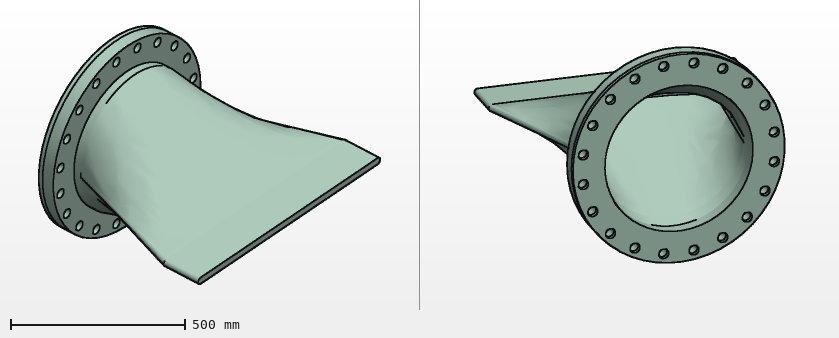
import cadquery as cq
import math


flange_diameter = 640.0
flange_thickness = 15.0
ring_thickness = 41.0
ring_end = flange_thickness + ring_thickness

bolt_count = 20
bolt_circle_diameter = 584.0
bolt_hole_diameter = 29.0
bolt_pitch = 360 / bolt_count

sleeve_diameter = 460.5
sleeve_radius = sleeve_diameter / 2
sleeve_end = 83.0

valve_length = 676.0
lip_length = 132.0
lip_width = 790.0
lip_thickness = 23.0
lip_start = valve_length - lip_length
lip_edge_radius = lip_thickness / 2
lip_flat_half_width = lip_width / 2 - lip_edge_radius

outer_strip_half_height = 8.0
inner_strip_half_height = 9.5

bore_radius = 223.5
bore_length = 44.0
throat_half_height = 210.0
passage_end = 490.0
slit_half_width = 268.5
slit_side_bulge = 8.0
slit_end_half_height = 15.0
slit_middle_half_height = 1.0


def section(x, corner_y, corner_z, middle_z, side_y):
    """Closed YZ outline at x: arcs over the top and bottom, joined by a short arc at each side."""
    return (
        cq.Workplane("YZ", origin=(x, 0, 0))
        .moveTo(corner_y, corner_z)
        .threePointArc((0, middle_z), (-corner_y, corner_z))
        .threePointArc((-side_y, 0), (-corner_y, -corner_z))
        .threePointArc((0, -middle_z), (corner_y, -corner_z))
        .threePointArc((side_y, 0), (corner_y, corner_z))
        .close()
        .val()
    )


def circle_section(x, radius, strip_half_height):
    """Circle at x, split at the corners of the two side strips."""
    corner_y = math.sqrt(radius**2 - strip_half_height**2)
    return section(x, corner_y, strip_half_height, radius, radius)


def lip_section(x):
    """Slot-shaped outline of the lip at x."""
    return (
        cq.Workplane("YZ", origin=(x, 0, 0))
        .moveTo(lip_flat_half_width, lip_edge_radius)
        .lineTo(-lip_flat_half_width, lip_edge_radius)
        .threePointArc((-lip_width / 2, 0), (-lip_flat_half_width, -lip_edge_radius))
        .lineTo(lip_flat_half_width, -lip_edge_radius)
        .threePointArc((lip_width / 2, 0), (lip_flat_half_width, lip_edge_radius))
        .close()
        .val()
    )


def ruled_loft(*sections):
    return cq.Workplane(obj=cq.Solid.makeLoft(list(sections), True))


def disc(x, diameter, thickness):
    return cq.Workplane("YZ", origin=(x, 0, 0)).circle(diameter / 2).extrude(thickness)


def bolt_holes():
    """Cutters through the flange and the ring, straddling the Y and Z axes."""
    return (
        cq.Workplane("YZ")
        .polarArray(bolt_circle_diameter / 2, bolt_pitch / 2, 360, bolt_count)
        .circle(bolt_hole_diameter / 2)
        .extrude(ring_end)
    )


def passage():
    """Void of the valve: bore, throat and closing wedge."""
    throat_corner_y = math.sqrt(bore_radius**2 - inner_strip_half_height**2)
    throat = section(
        sleeve_end, throat_corner_y, inner_strip_half_height, throat_half_height, bore_radius
    )
    slit = section(
        passage_end,
        slit_half_width,
        slit_end_half_height,
        slit_middle_half_height,
        slit_half_width + slit_side_bulge,
    )
    bore_start = circle_section(0, bore_radius, inner_strip_half_height)
    bore_end = circle_section(bore_length, bore_radius, inner_strip_half_height)
    return ruled_loft(bore_start, bore_end, throat, slit)


def make_valve():
    flange = disc(0, flange_diameter, flange_thickness)
    sleeve = disc(0, sleeve_diameter, sleeve_end)
    bill = ruled_loft(
        circle_section(sleeve_end, sleeve_radius, outer_strip_half_height), lip_section(lip_start)
    )
    lip = cq.Workplane(obj=cq.Solid.extrudeLinear(lip_section(lip_start), [], cq.Vector(lip_length, 0, 0)))
    outside = flange.union(sleeve).union(bill).union(lip)
    return outside.cut(passage()).cut(bolt_holes())


def make_backing_ring():
    ring = disc(flange_thickness, flange_diameter, ring_thickness)
    sleeve_opening = disc(flange_thickness, sleeve_diameter, ring_thickness)
    return ring.cut(sleeve_opening).cut(bolt_holes())


valve = make_valve()
backing_ring = make_backing_ring()

result = cq.Compound.makeCompound([valve.solids().val(), backing_ring.solids().val()])